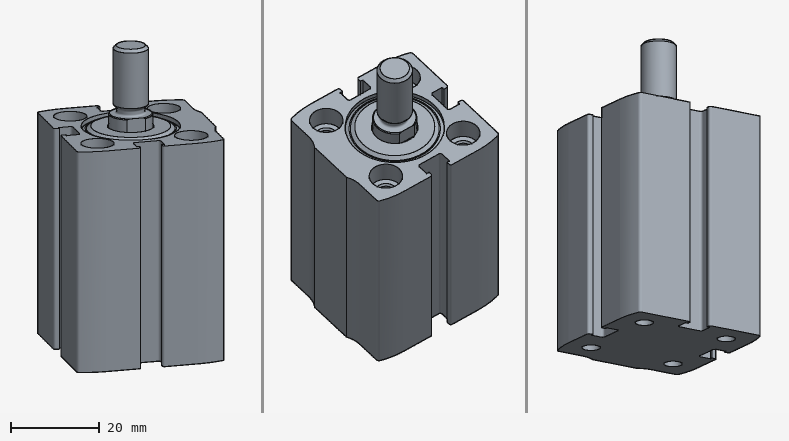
import cadquery as cq
import math

total_height = 71.0
housing_height = 52.0
half_width = 17.25

back_rise = 1.0
back_flat_half = 5.9
back_foot_half = 9.45
straight_half = 10.7
side_radius = 20.0
corner_radius = 0.7

slot_mouth = 5.1
slot_width = 6.45
slot_depth = 4.5
slot_lip = 1.3
mouth_radius = 0.5
pocket_radius = 0.6

hole_offset = 11.0
counterbore_diameter = 7.5
counterbore_depth = 5.0
countersink_diameter = 5.0
through_diameter = 4.1

bore_diameter = 22.4
groove_depth = 1.1
rim_radius = 10.3
rim_depth = 0.6
cover_base_diameter = 20.0
cover_mid_radius = 9.3
cover_mid_depth = 0.15
cover_top_radius = 9.0

rod_diameter = 10.0
rod_depth = 14.2
rod_recess_diameter = 10.45
rod_recess_depth = 1.4
collar_height = 3.05
collar_chamfer = 0.2
flat_spacing = 9.0
flat_run_below = 0.6
neck_diameter = 6.4
neck_fillet = 0.5
neck_top = 56.1
undercut_radius = 3.5
undercut_top = 56.6
thread_diameter = 8.0
thread_start = 57.2
thread_chamfer = 0.7


def side_arc_x(y):
    """X of the curved +X side at a given distance from the middle."""
    return half_width - side_radius + math.sqrt(side_radius ** 2 - (y - straight_half) ** 2)


def housing_blank():
    corner_x = side_arc_x(half_width)
    mid_y = (straight_half + half_width) / 2
    mid_x = side_arc_x(mid_y)
    back_y = half_width + back_rise
    right_half = (
        cq.Workplane("XY")
        .moveTo(0, -half_width)
        .lineTo(corner_x, -half_width)
        .threePointArc((mid_x, -mid_y), (half_width, -straight_half))
        .lineTo(half_width, straight_half)
        .threePointArc((mid_x, mid_y), (corner_x, half_width))
        .lineTo(back_foot_half, half_width)
        .tangentArcPoint((back_flat_half, back_y), relative=False)
        .lineTo(0, back_y)
        .close()
        .extrude(housing_height)
    )
    blank = right_half.union(right_half.mirror("YZ")).clean()
    for x in (-corner_x, corner_x):
        for y in (-half_width, half_width):
            corner = cq.selectors.NearestToPointSelector((x, y, housing_height / 2))
            blank = blank.edges("|Z").edges(corner).fillet(corner_radius)
    return blank


def slot_cutter(angle):
    """T-slot along Z, opening toward -Y before it is turned about the Z axis."""
    pocket_length = slot_depth - slot_lip
    pocket = (
        cq.Workplane("XY")
        .center(0, -half_width + slot_lip + pocket_length / 2)
        .rect(slot_width, pocket_length)
        .extrude(housing_height)
        .edges("|Z and >Y")
        .fillet(pocket_radius)
    )
    mouth_half = slot_mouth / 2
    half_mouth = (
        cq.Workplane("XY")
        .moveTo(0, -half_width + slot_lip)
        .lineTo(mouth_half, -half_width + slot_lip)
        .lineTo(mouth_half, -half_width + mouth_radius)
        .tangentArcPoint((mouth_radius, -mouth_radius))
        .lineTo(0, -half_width)
        .close()
        .extrude(housing_height)
    )
    mouth = half_mouth.union(half_mouth.mirror("YZ"))
    return pocket.union(mouth).rotate((0, 0, 0), (0, 0, 1), angle)


def mounting_hole_cutter(x, y):
    """Through hole with a countersunk step and a counterbore at the top."""
    through_radius = through_diameter / 2
    countersink_radius = countersink_diameter / 2
    counterbore_radius = counterbore_diameter / 2
    floor_z = housing_height - counterbore_depth
    countersink_z = floor_z - (countersink_radius - through_radius)
    profile = [
        (0, 0),
        (through_radius, 0),
        (through_radius, countersink_z),
        (countersink_radius, floor_z),
        (counterbore_radius, floor_z),
        (counterbore_radius, housing_height),
        (0, housing_height),
    ]
    return cq.Workplane("XZ").polyline(profile).close().revolve().translate((x, y, 0))


def groove_cutter():
    """Ring-shaped groove whose inner side steps outward as it goes down."""
    bore_radius = bore_diameter / 2
    cover_base_radius = cover_base_diameter / 2
    profile = [
        (cover_top_radius, housing_height),
        (cover_mid_radius, housing_height - cover_mid_depth),
        (cover_base_radius, housing_height - rim_depth),
        (rim_radius, housing_height - rim_depth),
        (bore_radius, housing_height - groove_depth),
        (bore_radius, housing_height),
    ]
    return cq.Workplane("XZ").polyline(profile).close().revolve(360, (0, 0), (0, 1))


def rod_hole_cutter():
    """Blind hole that fits the rod, with a slightly wider recess at the top."""
    fit = (
        cq.Workplane("XY")
        .workplane(offset=housing_height - rod_depth)
        .circle(rod_diameter / 2)
        .extrude(rod_depth)
    )
    recess = (
        cq.Workplane("XY")
        .workplane(offset=housing_height - rod_recess_depth)
        .circle(rod_recess_diameter / 2)
        .extrude(rod_recess_depth)
    )
    return fit.union(recess)


def make_housing():
    body = housing_blank()
    for angle in (-90, 0, 90):
        body = body.cut(slot_cutter(angle))
    for x in (-hole_offset, hole_offset):
        for y in (-hole_offset, hole_offset):
            body = body.cut(mounting_hole_cutter(x, y))
    body = body.cut(groove_cutter())
    return body.cut(rod_hole_cutter())


def make_piston_rod():
    rod_radius = rod_diameter / 2
    neck_radius = neck_diameter / 2
    thread_radius = thread_diameter / 2
    collar_top = housing_height + collar_height
    rod = (
        cq.Workplane("XZ")
        .moveTo(0, housing_height - rod_depth)
        .lineTo(rod_radius, housing_height - rod_depth)
        .lineTo(rod_radius, collar_top - collar_chamfer)
        .lineTo(rod_radius - collar_chamfer, collar_top)
        .lineTo(neck_radius + neck_fillet, collar_top)
        .tangentArcPoint((-neck_fillet, neck_fillet))
        .lineTo(neck_radius, neck_top)
        .tangentArcPoint((undercut_radius, undercut_top), relative=False)
        .lineTo(thread_radius, thread_start)
        .lineTo(thread_radius, total_height - thread_chamfer)
        .lineTo(thread_radius - thread_chamfer, total_height)
        .lineTo(0, total_height)
        .close()
        .revolve(360, (0, 0), (0, 1))
    )

    return rod.cut(wrench_flat_cutter()).cut(wrench_flat_cutter().mirror("YZ"))


def wrench_flat_cutter():
    """Flat on the +X side of the collar that runs out at 45 degrees below the housing face."""
    flat_x = flat_spacing / 2
    flat_bottom = housing_height - flat_run_below
    collar_top = housing_height + collar_height
    profile = [
        (flat_x, flat_bottom),
        (flat_x, collar_top),
        (rod_diameter, collar_top),
        (rod_diameter, flat_bottom - (rod_diameter - flat_x)),
    ]
    return cq.Workplane("XZ").polyline(profile).close().extrude(rod_diameter / 2, both=True)


housing = make_housing()
piston_rod = make_piston_rod()

result = cq.Compound.makeCompound([housing.val(), piston_rod.val()])